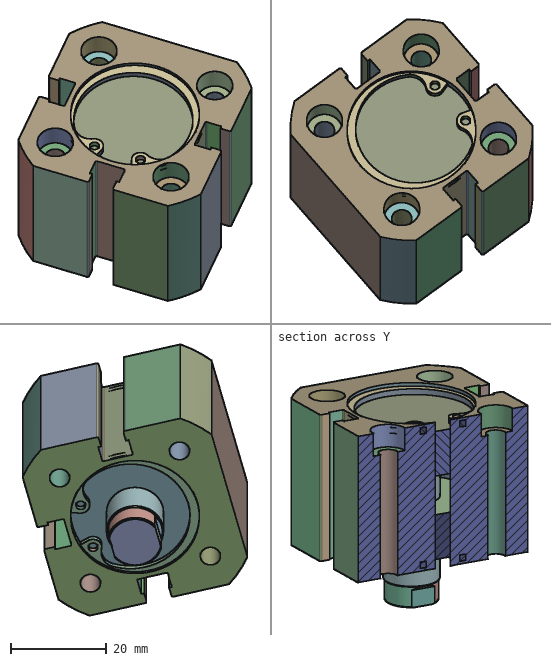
import cadquery as cq
import math


overall_length = 43.5
housing_width = 41.0
housing_height = 32.5
corner_radius = 25.5
bore_radius = 13.55

slot_depth = 5.9
slot_mouth_width = 5.4
slot_inner_width = 6.6
slot_lip_thickness = 2.35
slot_mouth_fillet = 0.4
slot_floor_fillet = 0.3
slot_directions = (180, 0, -90)

hole_pitch = 26.0
hole_diameter = 4.2
counterbore_diameter = 7.53
counterbore_depth = 5.0

ring_setback = 0.75
ring_thickness = 1.25
ring_outer_radius = 14.5
ring_inner_radius = 12.53
ring_inner_offset = ring_inner_radius - bore_radius
lug_radius = 1.85
lug_hole_diameter = 2.0
lug_x = 5.18
lug_y = -10.45
lug_blend_radius = 3.5

cover_thickness = 10.0
cover_setback = ring_setback + ring_thickness

rod_radius = 6.0
rod_tip_radius = 5.75
rod_full_length = 6.1
rod_step_chamfer = rod_radius - rod_tip_radius
rod_tip_chamfer = 0.25
flat_half_width = 5.0

rod_end_z = housing_height - overall_length
rod_step_z = -rod_full_length
tip_start_z = rod_step_z - rod_step_chamfer
head_cover_z = housing_height - cover_setback - cover_thickness
head_ring_z = housing_height - ring_setback - ring_thickness


def polar(radius, angle):
    """Point at a radius and an angle in radians from +X."""
    return (radius * math.cos(angle), radius * math.sin(angle))


def mirrored(point):
    """Mirror image of a point across the Y axis."""
    return (-point[0], point[1])


def toward(start, target, distance):
    """Point at a distance from start on the line to target."""
    share = distance / math.dist(start, target)
    return (start[0] + share * (target[0] - start[0]), start[1] + share * (target[1] - start[1]))


def slot_cutter(direction):
    """T-slot over the whole housing height, open toward the given direction."""
    side = housing_width / 2
    inner_depth = slot_depth - slot_lip_thickness
    from_floor = (False, True, False)
    mouth = cq.Workplane("XY").box(slot_depth, slot_mouth_width, housing_height, centered=from_floor)
    inner = cq.Workplane("XY").box(inner_depth, slot_inner_width, housing_height, centered=from_floor)
    inner = inner.edges("|Z and <X").fillet(slot_floor_fillet)
    slot = mouth.union(inner).translate((side - slot_depth, 0, 0))
    for hand in (-1, 1):
        slot = slot.union(mouth_rounding(hand))
    return slot.rotate((0, 0, 0), (0, 0, 1), direction)


def mouth_rounding(hand):
    """Sliver outside the convex fillet on one lip of a slot that faces +X."""
    side = housing_width / 2
    wall = hand * slot_mouth_width / 2
    outer = wall + hand * slot_mouth_fillet
    start = side - slot_mouth_fillet
    bulge = slot_mouth_fillet * math.sqrt(0.5)
    return (
        cq.Workplane("XY")
        .moveTo(start, wall)
        .lineTo(side, wall)
        .lineTo(side, outer)
        .threePointArc((start + bulge, outer - hand * bulge), (start, wall))
        .close()
        .extrude(housing_height)
    )


def make_ring():
    """Retaining ring with its lower face at Z = 0 and its gap toward -Y."""
    inner_center = (0, ring_inner_offset)
    lug = (lug_x, lug_y)
    lug_distance = math.hypot(lug_x, lug_y)

    gap_angle = math.atan2(lug_y, lug_x) - math.asin(lug_radius / lug_distance)
    gap_touch = polar(math.sqrt(lug_distance**2 - lug_radius**2), gap_angle)
    gap_end = polar(ring_outer_radius, gap_angle)
    below_gap = (0, -ring_outer_radius)

    reach_inner = ring_inner_radius - lug_blend_radius
    reach_lug = lug_radius + lug_blend_radius
    span = math.dist(inner_center, lug)
    along = (reach_inner**2 - reach_lug**2 + span**2) / (2 * span)
    turn = math.acos(along / reach_inner)
    heading = math.atan2(lug_y - ring_inner_offset, lug_x) + turn
    blend = polar(reach_inner, heading)
    blend = (blend[0], blend[1] + ring_inner_offset)
    inner_touch = toward(inner_center, blend, ring_inner_radius)
    lug_touch = toward(blend, lug, lug_blend_radius)

    blend_chord_middle = ((inner_touch[0] + lug_touch[0]) / 2, (inner_touch[1] + lug_touch[1]) / 2)
    blend_middle = toward(blend, blend_chord_middle, lug_blend_radius)
    lug_chord_middle = ((gap_touch[0] + lug_touch[0]) / 2, (gap_touch[1] + lug_touch[1]) / 2)
    lug_middle = toward(lug, lug_chord_middle, lug_radius)

    opening = (
        cq.Workplane("XY")
        .moveTo(*gap_end)
        .lineTo(*gap_touch)
        .threePointArc(lug_middle, lug_touch)
        .threePointArc(blend_middle, inner_touch)
        .threePointArc((0, ring_inner_offset + ring_inner_radius), mirrored(inner_touch))
        .threePointArc(mirrored(blend_middle), mirrored(lug_touch))
        .threePointArc(mirrored(lug_middle), mirrored(gap_touch))
        .lineTo(*mirrored(gap_end))
        .threePointArc(below_gap, gap_end)
        .close()
        .extrude(ring_thickness)
    )
    lug_holes = (
        cq.Workplane("XY")
        .pushPoints([lug, mirrored(lug)])
        .circle(lug_hole_diameter / 2)
        .extrude(ring_thickness)
    )
    return cq.Workplane("XY").circle(ring_outer_radius).extrude(ring_thickness).cut(opening).cut(lug_holes)


def make_housing(rings):
    """Square housing with rounded corners, bore, slots, mounting holes and ring seats."""
    body = cq.Workplane("XY").box(housing_width, housing_width, housing_height, centered=(True, True, False))
    body = body.intersect(cq.Workplane("XY").circle(corner_radius).extrude(housing_height))
    body = body.cut(cq.Workplane("XY").circle(bore_radius).extrude(housing_height))
    for direction in slot_directions:
        body = body.cut(slot_cutter(direction))
    body = (
        body.faces(">Z")
        .workplane(origin=(0, 0, housing_height))
        .rect(hole_pitch, hole_pitch, forConstruction=True)
        .vertices()
        .cboreHole(hole_diameter, counterbore_diameter, counterbore_depth)
    )
    for ring in rings:
        body = body.cut(ring)
    return body


def make_rod():
    """Piston rod from the head cover down to a stepped tip with two wrench flats."""
    rod = (
        cq.Workplane("XZ")
        .moveTo(0, head_cover_z)
        .lineTo(rod_radius, head_cover_z)
        .lineTo(rod_radius, rod_step_z)
        .lineTo(rod_tip_radius, tip_start_z)
        .lineTo(rod_tip_radius, rod_end_z + rod_tip_chamfer)
        .lineTo(rod_tip_radius - rod_tip_chamfer, rod_end_z)
        .lineTo(0, rod_end_z)
        .close()
        .revolve(360, (0, 0, 0), (0, 1, 0))
    )
    flat_top_z = rod_step_z - (rod_radius - flat_half_width)
    flat = (
        cq.Workplane("YZ")
        .moveTo(flat_half_width, rod_end_z)
        .lineTo(flat_half_width, flat_top_z)
        .lineTo(rod_radius, rod_step_z)
        .lineTo(rod_radius, rod_end_z)
        .close()
        .extrude(rod_radius, both=True)
    )
    return rod.cut(flat).cut(flat.mirror("XZ"))


def make_head_cover():
    """Plain disc that closes the upper end of the bore."""
    return cq.Workplane("XY", origin=(0, 0, head_cover_z)).circle(bore_radius).extrude(cover_thickness)


def make_rod_cover():
    """Disc in the lower end of the bore that guides the rod."""
    disc = cq.Workplane("XY", origin=(0, 0, cover_setback)).circle(bore_radius).circle(rod_radius)
    return disc.extrude(cover_thickness)


rings = [make_ring().translate((0, 0, z)) for z in (ring_setback, head_ring_z)]
housing = make_housing(rings)
rod = make_rod()
rod_cover = make_rod_cover()
head_cover = make_head_cover()

result = cq.Compound.makeCompound(
    [housing.val(), rod.val(), rod_cover.val(), head_cover.val(), *[ring.val() for ring in rings]]
)